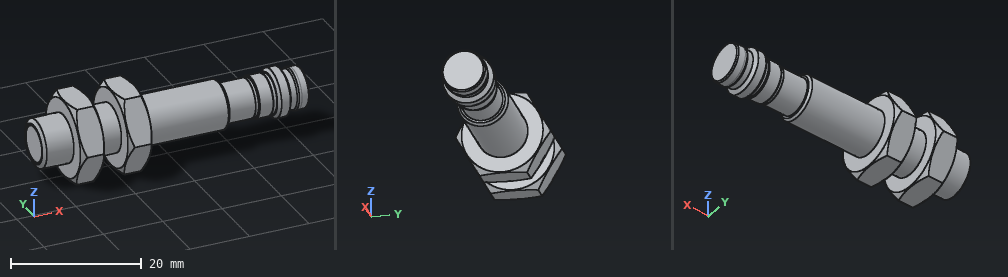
import cadquery as cq
import math

total_length = 45.0
barrel_diameter = 8.0
barrel_end = 31.4
barrel_end_chamfer = 0.4
face_diameter = 6.5
face_chamfer_length = 0.4
recess_rim_diameter = 6.1
recess_floor_diameter = 5.8
recess_depth = 0.068

neck_diameter = 6.5
undercut_start = 35.95
undercut_diameter = 6.4
ring_diameter = 6.9
ring_start = 36.45
ring_end = 38.92
ring_chamfer = 0.15
flange_diameter = barrel_diameter
flange_start = 39.5
flange_end = 41.9
flange_chamfer_length = 0.45
lip_start = 42.95
lip_chamfer_length = 0.25
lip_land_end = 43.6
tip_diameter = 6.8
tip_chamfer = 0.22

nut_across_flats = 13.0
nut_thickness = 4.05
nut_starts = (4.95, 12.95)
nut_face_diameter = 12.8
nut_chamfer_angle = 30.0


def make_turned_body():
    """Barrel and connector tail as one revolved half profile."""
    barrel = barrel_diameter / 2
    neck = neck_diameter / 2
    undercut = undercut_diameter / 2
    ring = ring_diameter / 2
    flange = flange_diameter / 2
    tip = tip_diameter / 2
    outline = [
        (recess_depth, 0),
        (recess_depth, recess_floor_diameter / 2),
        (0, recess_rim_diameter / 2),
        (0, face_diameter / 2),
        (face_chamfer_length, barrel),
        (barrel_end - barrel_end_chamfer, barrel),
        (barrel_end, barrel - barrel_end_chamfer),
        (barrel_end, neck),
        (undercut_start, neck),
        (undercut_start, undercut),
        (ring_start, undercut),
        (ring_start, ring - ring_chamfer),
        (ring_start + ring_chamfer, ring),
        (ring_end - ring_chamfer, ring),
        (ring_end, ring - ring_chamfer),
        (ring_end, neck),
        (flange_start, neck),
        (flange_start, ring),
        (flange_start + flange_chamfer_length, flange),
        (flange_end - flange_chamfer_length, flange),
        (flange_end, neck),
        (lip_start, neck),
        (lip_start + lip_chamfer_length, ring),
        (lip_land_end, ring),
        (total_length - tip_chamfer, tip),
        (total_length, tip - tip_chamfer),
        (total_length, 0),
    ]
    return cq.Workplane("XY").polyline(outline).close().revolve(360, (0, 0, 0), (1, 0, 0))


def make_nut(start):
    """Hexagon with corners on Y, both faces trimmed by a cone."""
    across_corners = nut_across_flats / math.cos(math.radians(30))
    hexagon = (
        cq.Workplane("YZ", origin=(start, 0, 0))
        .polygon(6, across_corners)
        .extrude(nut_thickness)
    )
    face_radius = nut_face_diameter / 2
    corner_radius = across_corners / 2
    setback = (corner_radius - face_radius) * math.tan(math.radians(nut_chamfer_angle))
    end = start + nut_thickness
    envelope = (
        cq.Workplane("XY")
        .polyline([
            (start, 0),
            (start, face_radius),
            (start + setback, corner_radius),
            (end - setback, corner_radius),
            (end, face_radius),
            (end, 0),
        ])
        .close()
        .revolve(360, (0, 0, 0), (1, 0, 0))
    )
    return hexagon.intersect(envelope)


result = make_turned_body()
for nut_start in nut_starts:
    result = result.union(make_nut(nut_start))